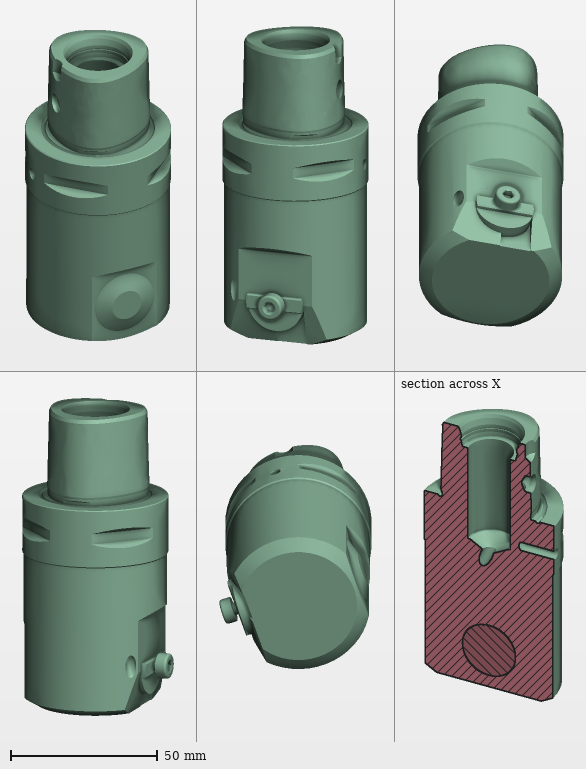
import cadquery as cq
import math

TOTAL_HEIGHT = 103.0
OVERSHOOT = 1.0

COLLAR_DIAMETER = 50.0
COLLAR_RADIUS = COLLAR_DIAMETER / 2
COLLAR_TOP = 73.0
COLLAR_BOTTOM = 53.3
COLLAR_TOP_CHAMFER = 0.3
SLOT_FLAT_DISTANCE = 22.1
SLOT_FLAT_WIDTH = 3.6
SLOT_MIDDLE = 63.0
SLOT_WALL_ANGLE = 30.0
SLOT_ANGLES = (45, 135, 225, 315)

BODY_RADIUS = 24.5
BODY_CHAMFER_HEIGHT = 2.6
BODY_CHAMFER_ANGLE = 30.0

SHANK_DIAMETER = 34.9
SHANK_RADIUS = SHANK_DIAMETER / 2
SHANK_LOBE = 1.1
SHANK_TAPER = 1 / 40
TAPER_START = 76.0
FOOT_TOP = 75.3
FOOT_STEP = 0.15
SHANK_CHAMFER_HEIGHT = 1.2
SHANK_CHAMFER_WIDTH = 0.67

GROOVE_INNER_RADIUS = 17.9
GROOVE_OUTER_RADIUS = 19.5
GROOVE_DEPTH = 0.6
GROOVE_CONE_START = 74.2

MOUTH_RADIUS = 11.8
MOUTH_CHAMFER_DEPTH = 1.1
LEAD_IN_RADIUS = 11.2
SEAT_RADIUS = 10.5
LEAD_IN_DEPTH = 3.4
UNDERCUT_RADIUS = 10.9
UNDERCUT_TOP = 4.5
UNDERCUT_BOTTOM = 5.2
SEAT_DEPTH = 6.3
LEDGE_RADIUS = 10.1
LEDGE_DEPTH = 7.7
BORE_DIAMETER = 16.2
BORE_RADIUS = BORE_DIAMETER / 2
BORE_DEPTH = 44.6
TIP_RADIUS = 7.4
DRILL_TIP_SLOPE = math.tan(math.radians(31))

NOTCH_DIAMETER = 7.7
NOTCH_RADIUS = NOTCH_DIAMETER / 2
NOTCH_AXIS_DISTANCE = 17.7
NOTCH_FLOOR = 97.6
NOTCH_TIP_SLOPE = 0.8
CROSS_HOLE_DIAMETER = 6.7
CROSS_HOLE_RADIUS = CROSS_HOLE_DIAMETER / 2
CROSS_HOLE_HEIGHT = 87.0
CROSS_HOLE_FLOOR = 13.9
COLLAR_HOLE_RADIUS = 2.0
COLLAR_HOLE_HEIGHT = 61.0
COLLAR_HOLE_FLOOR = 12.0
LINK_DUCT_RADIUS = 0.6
LINK_DUCT_DISTANCE = 12.9

DUCT_DIAMETER = 4.2
DUCT_RADIUS = DUCT_DIAMETER / 2
DUCT_DIRECTION = 140.3
DUCT_SLOPE = 57.5
DUCT_EXIT_HEIGHT = 17.5
DUCT_LEAD = 3.1

SLIDE_HEIGHT = 14.9
FLAT_RUNOUT_ANGLE = 30.0
SLIDE_FLAT = 20.6
SLIDE_FLAT_TOP = 33.2
SLIDE_FLAT_FILLET = 0.6
SLANT_ANGLE = 15.0
BACK_FLAT = 21.2
BACK_FLAT_TOP = 28.1
RECESS_FACE = 16.3
RECESS_EDGE = 0.4
CONE_BASE_RADIUS = 11.1
CONE_TOP_RADIUS = 5.5
CONE_HEIGHT = 2.1

SLIDE_DIAMETER = 20.1
SLIDE_RADIUS = SLIDE_DIAMETER / 2
SLIDE_END = 15.5
RIB_WIDTH = 5.3
RIB_HEIGHT = 1.5
RIB_CHAMFER = 0.4

TOTAL_LENGTH = 52.2
SCREW_TIP = TOTAL_LENGTH - COLLAR_RADIUS
HEAD_RADIUS = 4.3
HEAD_LENGTH = 3.9
HEAD_FILLET = 0.8
SCREW_SHANK_RADIUS = 2.2
SCREW_END = 12.4
SOCKET_WIDTH = 3.5
SOCKET_DEPTH = 2.6
SOCKET_MOUTH_RADIUS = 2.4
SOCKET_MOUTH_DEPTH = 0.4


def tan_degrees(angle):
    return math.tan(math.radians(angle))


def revolved(points):
    """Solid of revolution about Z from a closed (radius, z) outline."""
    return cq.Workplane("XZ").polyline(points).close().revolve(360, (0, 0, 0), (0, 1, 0))


def side_plane(x, height):
    """Plane facing +X at distance x, centred on the given height; its local x runs along Y."""
    return cq.Workplane(cq.Plane(origin=(x, 0, height), xDir=(0, 1, 0), normal=(1, 0, 0)))


def lobed_wire(mean_radius, height):
    """Three-lobed closed outline with one lobe toward +Y."""
    def point(t):
        angle = 2 * math.pi * t
        return (
            mean_radius * math.sin(angle) - SHANK_LOBE * math.sin(2 * angle),
            mean_radius * math.cos(angle) + SHANK_LOBE * math.cos(2 * angle),
        )
    return cq.Workplane("XY", origin=(0, 0, height)).parametricCurve(point, N=72).val()


def lobed_loft(lower_radius, lower_height, upper_radius, upper_height):
    lower = lobed_wire(lower_radius, lower_height)
    upper = lobed_wire(upper_radius, upper_height)
    return cq.Workplane(cq.Solid.makeLoft([lower, upper], True))


def tapered_shank():
    chamfer_start = TOTAL_HEIGHT - SHANK_CHAMFER_HEIGHT
    tip_radius = SHANK_RADIUS - SHANK_TAPER * (chamfer_start - TAPER_START)
    foot_radius = SHANK_RADIUS - FOOT_STEP
    foot = lobed_loft(foot_radius, COLLAR_TOP - OVERSHOOT, foot_radius, FOOT_TOP)
    step = lobed_loft(foot_radius, FOOT_TOP, SHANK_RADIUS, TAPER_START)
    taper = lobed_loft(SHANK_RADIUS, TAPER_START, tip_radius, chamfer_start)
    chamfer = lobed_loft(tip_radius, chamfer_start, tip_radius - SHANK_CHAMFER_WIDTH, TOTAL_HEIGHT)
    return foot.union(step).union(taper).union(chamfer)


def turned_body():
    chamfer_width = BODY_CHAMFER_HEIGHT / tan_degrees(BODY_CHAMFER_ANGLE)
    step = COLLAR_RADIUS - BODY_RADIUS
    return revolved([
        (0, 0),
        (BODY_RADIUS - chamfer_width, 0),
        (BODY_RADIUS, BODY_CHAMFER_HEIGHT),
        (BODY_RADIUS, COLLAR_BOTTOM - step),
        (COLLAR_RADIUS, COLLAR_BOTTOM),
        (COLLAR_RADIUS, COLLAR_TOP - COLLAR_TOP_CHAMFER),
        (COLLAR_RADIUS - COLLAR_TOP_CHAMFER, COLLAR_TOP),
        (0, COLLAR_TOP),
    ])


def relief_groove():
    """Ring cutter: rounded groove in the collar face with a 45 degree cone trimming the lobes."""
    width = GROOVE_OUTER_RADIUS - GROOVE_INNER_RADIUS
    return (
        cq.Workplane("XZ")
        .moveTo(GROOVE_INNER_RADIUS, COLLAR_TOP)
        .threePointArc(
            (GROOVE_INNER_RADIUS + width / 2, COLLAR_TOP - GROOVE_DEPTH),
            (GROOVE_OUTER_RADIUS, COLLAR_TOP),
        )
        .lineTo(GROOVE_OUTER_RADIUS, GROOVE_CONE_START + width)
        .lineTo(GROOVE_INNER_RADIUS, GROOVE_CONE_START)
        .close()
        .revolve(360, (0, 0, 0), (0, 1, 0))
    )


def clamping_bore():
    steps = [
        (0, 0),
        (MOUTH_RADIUS, 0),
        (LEAD_IN_RADIUS, MOUTH_CHAMFER_DEPTH),
        (SEAT_RADIUS, LEAD_IN_DEPTH),
        (SEAT_RADIUS, UNDERCUT_TOP),
        (UNDERCUT_RADIUS, UNDERCUT_TOP),
        (UNDERCUT_RADIUS, UNDERCUT_BOTTOM),
        (SEAT_RADIUS, UNDERCUT_BOTTOM),
        (SEAT_RADIUS, SEAT_DEPTH),
        (LEDGE_RADIUS, LEDGE_DEPTH),
        (BORE_RADIUS, LEDGE_DEPTH),
        (BORE_RADIUS, BORE_DEPTH),
        (TIP_RADIUS, BORE_DEPTH),
        (0, BORE_DEPTH + TIP_RADIUS * DRILL_TIP_SLOPE),
    ]
    return revolved([(radius, TOTAL_HEIGHT - depth) for radius, depth in steps])


def gripper_slot(angle):
    """Cutter for one flat-bottomed slot with sloped walls, facing the given direction."""
    reach = COLLAR_RADIUS + OVERSHOOT
    inner = SLOT_FLAT_WIDTH / 2
    outer = inner + (reach - SLOT_FLAT_DISTANCE) * tan_degrees(SLOT_WALL_ANGLE)
    return (
        cq.Workplane("XZ")
        .polyline([
            (SLOT_FLAT_DISTANCE, SLOT_MIDDLE - inner),
            (reach, SLOT_MIDDLE - outer),
            (reach, SLOT_MIDDLE + outer),
            (SLOT_FLAT_DISTANCE, SLOT_MIDDLE + inner),
        ])
        .close()
        .extrude(COLLAR_RADIUS, both=True)
        .rotate((0, 0, 0), (0, 0, 1), angle)
    )


def drill(radius, start, length, tip_slope):
    """Pointed drill along -Z from z = start; length is that of its cylinder."""
    return revolved([
        (0, start),
        (radius, start),
        (radius, start - length),
        (0, start - length - radius * tip_slope),
    ])


def front_drill(radius, height, floor):
    """Pointed drill entering from -Y whose cylinder ends at distance floor from the main axis."""
    start = COLLAR_RADIUS + OVERSHOOT
    return (
        drill(radius, start, start - floor, DRILL_TIP_SLOPE)
        .rotate((0, 0, 0), (1, 0, 0), 90)
        .translate((0, 0, height))
    )


def keyway_notch():
    start = TOTAL_HEIGHT + OVERSHOOT
    notch = drill(NOTCH_RADIUS, start, start - NOTCH_FLOOR, NOTCH_TIP_SLOPE)
    return notch.translate((0, -NOTCH_AXIS_DISTANCE, 0))


def front_holes():
    """Cross hole and collar hole, joined by a narrow vertical duct."""
    cross_hole = front_drill(CROSS_HOLE_RADIUS, CROSS_HOLE_HEIGHT, CROSS_HOLE_FLOOR)
    collar_hole = front_drill(COLLAR_HOLE_RADIUS, COLLAR_HOLE_HEIGHT, COLLAR_HOLE_FLOOR)
    link_duct = (
        cq.Workplane("XY", origin=(0, -LINK_DUCT_DISTANCE, COLLAR_HOLE_HEIGHT))
        .circle(LINK_DUCT_RADIUS)
        .extrude(CROSS_HOLE_HEIGHT - COLLAR_HOLE_HEIGHT)
    )
    return [cross_hole, collar_hole, link_duct]


def coolant_duct():
    turn = math.radians(DUCT_DIRECTION)
    slope = tan_degrees(DUCT_SLOPE)
    direction = cq.Vector(math.cos(turn), math.sin(turn), -slope)
    axis_crossing = cq.Vector(0, 0, DUCT_EXIT_HEIGHT + BODY_RADIUS * slope)
    start = axis_crossing - direction * DUCT_LEAD
    length = (DUCT_LEAD + BODY_RADIUS + OVERSHOOT + DUCT_RADIUS) * direction.Length
    return cq.Workplane(cq.Solid.makeCylinder(DUCT_RADIUS, length, start, direction))


def side_cutter(outline):
    """Cutter with an (x, z) outline, running right across the body along Y."""
    return cq.Workplane("XZ").polyline(outline).close().extrude(BODY_RADIUS + OVERSHOOT, both=True)


def slide_side_flat():
    """Flat on the -X side with a sloped run-out above and a slanted face below the slide axis."""
    reach = BODY_RADIUS + OVERSHOOT
    runout = (reach - SLIDE_FLAT) * tan_degrees(FLAT_RUNOUT_ANGLE)
    slant = SLIDE_HEIGHT * tan_degrees(SLANT_ANGLE)
    cutter = side_cutter([
        (-reach, 0),
        (slant - SLIDE_FLAT, 0),
        (-SLIDE_FLAT, SLIDE_HEIGHT),
        (-SLIDE_FLAT, SLIDE_FLAT_TOP),
        (-reach, SLIDE_FLAT_TOP + runout),
    ])
    corner = cq.selectors.NearestToPointSelector((-SLIDE_FLAT, 0, SLIDE_FLAT_TOP))
    return cutter.edges(corner).fillet(SLIDE_FLAT_FILLET)


def back_flat():
    """Flat on the +X side with a sloped run-out."""
    reach = BODY_RADIUS + OVERSHOOT
    runout = (reach - BACK_FLAT) * tan_degrees(FLAT_RUNOUT_ANGLE)
    return side_cutter([
        (BACK_FLAT, 0),
        (reach, 0),
        (reach, BACK_FLAT_TOP + runout),
        (BACK_FLAT, BACK_FLAT_TOP),
    ])


def slide_recess():
    """Cutter for the recess under the slide, open at the bottom and toward -X."""
    return cq.Workplane("XY").box(
        BODY_RADIUS - RECESS_FACE,
        SLIDE_RADIUS + RECESS_EDGE,
        SLIDE_HEIGHT,
        centered=False,
    ).translate((-BODY_RADIUS, -SLIDE_RADIUS, 0))


def back_cone():
    """Truncated cone standing on the back flat."""
    cone = cq.Solid.makeCone(
        CONE_BASE_RADIUS,
        CONE_TOP_RADIUS,
        CONE_HEIGHT,
        cq.Vector(BACK_FLAT, 0, SLIDE_HEIGHT),
        cq.Vector(1, 0, 0),
    )
    return cq.Workplane(cone)


def make_housing():
    housing = turned_body().union(tapered_shank())
    housing = housing.cut(relief_groove())
    housing = housing.cut(clamping_bore())
    housing = housing.cut(keyway_notch())
    for hole in front_holes():
        housing = housing.cut(hole)
    housing = housing.cut(coolant_duct())
    for angle in SLOT_ANGLES:
        housing = housing.cut(gripper_slot(angle))
    housing = housing.cut(slide_side_flat())
    housing = housing.cut(back_flat())
    housing = housing.cut(slide_recess())
    housing = housing.union(back_cone())
    return housing.cut(slide_cylinder())


def slide_cylinder():
    return side_plane(-SLIDE_FLAT, SLIDE_HEIGHT).circle(SLIDE_RADIUS).extrude(SLIDE_FLAT + SLIDE_END)


def screw_shank():
    """Plain shank from the underside of the screw head to its end inside the slide."""
    underside = SCREW_TIP - HEAD_LENGTH
    shank = side_plane(-underside, SLIDE_HEIGHT).circle(SCREW_SHANK_RADIUS)
    return shank.extrude(underside - SCREW_END)


def make_slide():
    """Cylinder with a chamfered rib across its outer end, bored for the screw."""
    rib_face = SLIDE_FLAT + RIB_HEIGHT
    rib = (
        side_plane(-rib_face, SLIDE_HEIGHT)
        .rect(SLIDE_DIAMETER, RIB_WIDTH)
        .extrude(RIB_HEIGHT)
        .faces("<X").edges("|Y").chamfer(RIB_CHAMFER)
    )
    envelope = side_plane(-rib_face, SLIDE_HEIGHT).circle(SLIDE_RADIUS).extrude(RIB_HEIGHT)
    return slide_cylinder().union(rib.intersect(envelope)).cut(screw_shank())


def make_screw():
    """Screw with a rounded head and a countersunk hexagon socket."""
    head = (
        side_plane(-SCREW_TIP, SLIDE_HEIGHT)
        .circle(HEAD_RADIUS)
        .extrude(HEAD_LENGTH)
        .faces("<X").edges().fillet(HEAD_FILLET)
    )
    corner_radius = SOCKET_WIDTH / math.sqrt(3)
    socket = side_plane(-SCREW_TIP, SLIDE_HEIGHT).polygon(6, 2 * corner_radius).extrude(SOCKET_DEPTH)
    countersink = cq.Workplane(cq.Solid.makeCone(
        SOCKET_MOUTH_RADIUS,
        SOCKET_WIDTH / 2,
        SOCKET_MOUTH_DEPTH,
        cq.Vector(-SCREW_TIP, 0, SLIDE_HEIGHT),
        cq.Vector(1, 0, 0),
    ))
    socket_tip = cq.Workplane(cq.Solid.makeCone(
        SOCKET_WIDTH / 2,
        0,
        SOCKET_WIDTH / 2 * DRILL_TIP_SLOPE,
        cq.Vector(SOCKET_DEPTH - SCREW_TIP, 0, SLIDE_HEIGHT),
        cq.Vector(1, 0, 0),
    ))
    return head.union(screw_shank()).cut(socket).cut(countersink).cut(socket_tip)


housing = make_housing()
slide = make_slide()
screw = make_screw()

result = cq.Compound.makeCompound([body.solids().val() for body in (housing, slide, screw)])